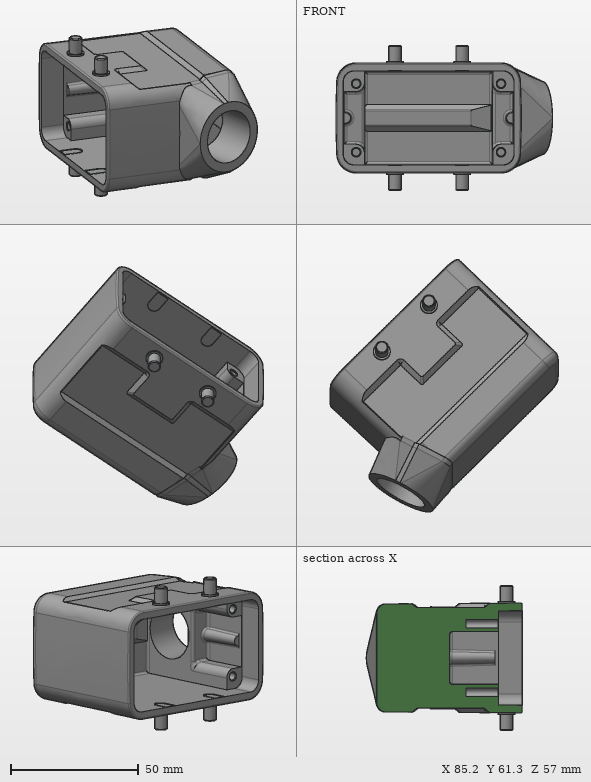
import cadquery as cq
import math


BODY_LENGTH = 72.9
BODY_WIDTH = 43.3
BODY_DEPTH = 57.2
BODY_CORNER = 7.7
SHORT_WALL_CREST = 0.8
BODY_DRAFT = 0.4
END_FILLET = 3.5
LIP_FILLET = 0.6

MOUTH_LENGTH = 67.1
MOUTH_WIDTH = 37.0
MOUTH_CORNER = 4.3
COLUMN_TOP = 9.3
CAVITY_LENGTH = 50.6
CAVITY_DRAFT = 0.4
END_WALL = 3.0
CAVITY_FLOOR = BODY_DEPTH - END_WALL
FLOOR_FILLET = 1.0
POCKET_LENGTH = 66.3
POCKET_WIDTH = 20.6
POCKET_FLOOR = 28.5
POCKET_FILLET = 1.1
COLUMN_CORNER = 3.4

SCREW_X = 28.45
SCREW_Z = 13.45
SCREW_DIA = 3.1
SCREW_DEPTH = 12.8
SCREW_CHAMFER = 0.3

KEY_X = 32.6
KEY_RADIUS = 2.5
KEY_TOP = 10.65
KEY_FILLET = 0.85
KEY_DRAFT = 1.5

RIDGE_HEIGHT = 2.55
RIDGE_BASE_HALF = 5.3
RIDGE_TOP_HALF = 3.1
RIDGE_FILLET = 0.8
RAMP_START_X = 16.6

PIN_X = 13.2
PIN_Y = 6.2
PIN_DIA = 5.0
PIN_SPAN = 57.0
PIN_CHAMFER = 0.4
COLLAR_DIA = 6.65
COLLAR_SPAN = 44.5
GROOVE_WIDTH = 5.1
GROOVE_LENGTH = 8.9
GROOVE_DEPTH = 0.25
LIP_DEPTH = 0.6

PANEL_LEVEL = 19.85
PANEL_LEFT = -32.2
PANEL_RIGHT = 32.45
PANEL_SHOULDER_X = 31.4
PANEL_SHOULDER_Y = 34.5
PANEL_BOTTOM = 14.9
PANEL_TOP = 41.5
TAB_HALF = 11.6
TAB_TOP = 26.7
PANEL_WALL_ANGLE = 50.0
PANEL_CUT = 2.55
TAB_CORNER = 1.3

ENTRY_TILT = 16.0
ENTRY_RADIUS = 14.3
TOTAL_LENGTH = 85.2
TOTAL_DEPTH = 61.3
ENTRY_X = TOTAL_LENGTH - BODY_LENGTH / 2 - ENTRY_RADIUS * math.sin(math.radians(ENTRY_TILT))
ENTRY_Y = TOTAL_DEPTH - ENTRY_RADIUS * math.cos(math.radians(ENTRY_TILT))
ENTRY_LENGTH = 14.0
ENTRY_ROOT_HALF = 21.2
ENTRY_SHOULDER = 0.5
ENTRY_ROOT_LENGTH = 1.9
ENTRY_SEAT_BOTTOM = -7.7
ENTRY_UPPER_CORNER = 3.4
ENTRY_LOWER_CORNER = 6.4
BAND_TOP = -0.3
BAND_BOTTOM = -2.3
BORE_RADIUS = 10.65
BORE_LENGTH = 23.4


def facing_y(y):
    """Workplane at depth y that extrudes towards +Y."""
    return cq.Workplane(cq.Plane(origin=(0, y, 0), xDir=(1, 0, 0), normal=(0, 1, 0)))


def block(length, width, depth, draft):
    """Box from the mouth plane to a depth, centred in X and Z and narrowing with depth."""
    return facing_y(0).rect(length, width).extrude(depth, taper=draft)


def body():
    half_length = BODY_LENGTH / 2
    side = half_length - SHORT_WALL_CREST
    half_width = BODY_WIDTH / 2
    section = (
        cq.Sketch()
        .segment((-side, half_width), (side, half_width))
        .arc((side, half_width), (half_length, 0), (side, -half_width))
        .segment((side, -half_width), (-side, -half_width))
        .arc((-side, -half_width), (-half_length, 0), (-side, half_width))
        .assemble()
        .vertices()
        .fillet(BODY_CORNER)
    )
    shell = facing_y(0).placeSketch(section).extrude(BODY_DEPTH, taper=BODY_DRAFT)
    shell = shell.faces(">Y").edges().fillet(END_FILLET)
    return shell.faces("<Y").edges().fillet(LIP_FILLET)


def panel_recess():
    """Cutter for the recessed panel on the +Z wall, open upwards with sloped walls."""
    outline = [
        (PANEL_LEFT, PANEL_BOTTOM),
        (-TAB_HALF, PANEL_BOTTOM),
        (-TAB_HALF, TAB_TOP),
        (TAB_HALF, TAB_TOP),
        (TAB_HALF, PANEL_BOTTOM),
        (PANEL_RIGHT, PANEL_BOTTOM),
        (PANEL_RIGHT, PANEL_SHOULDER_Y),
        (PANEL_SHOULDER_X, PANEL_TOP),
        (PANEL_LEFT, PANEL_TOP),
    ]
    recess = (
        cq.Workplane("XY", origin=(0, 0, PANEL_LEVEL))
        .polyline(outline)
        .close()
        .extrude(PANEL_CUT, taper=-PANEL_WALL_ANGLE)
    )
    around_tab = cq.selectors.BoxSelector(
        (-TAB_HALF - 0.85, 0, PANEL_LEVEL + 0.1),
        (TAB_HALF + 0.85, PANEL_TOP - 0.85, PANEL_LEVEL + PANEL_CUT - 0.1),
    )
    return recess.edges(around_tab).fillet(TAB_CORNER)


def entry_plane(distance):
    """Plane across the entry axis: local x is Z of the part, local y is the tilted height."""
    tilt = math.radians(ENTRY_TILT)
    axis = (math.cos(tilt), math.sin(tilt), 0)
    origin = (ENTRY_X - distance * axis[0], ENTRY_Y - distance * axis[1], 0)
    return cq.Plane(origin=origin, xDir=(0, 0, -1), normal=axis)


def entry_section(work, upper_arc, band, lower_arc):
    """Symmetric closed section from the arcs and band of its +x half, listed from top to bottom."""
    def mirrored(point):
        return (-point[0], point[1])

    top, upper_mid, upper_side = upper_arc
    lower_side, lower_mid, bottom = lower_arc
    return (
        work.moveTo(*mirrored(top))
        .lineTo(*top)
        .threePointArc(upper_mid, upper_side)
        .lineTo(*band[0])
        .lineTo(*band[1])
        .lineTo(*lower_side)
        .threePointArc(lower_mid, bottom)
        .lineTo(*mirrored(bottom))
        .threePointArc(mirrored(lower_mid), mirrored(lower_side))
        .lineTo(*mirrored(band[1]))
        .lineTo(*mirrored(band[0]))
        .lineTo(*mirrored(upper_side))
        .threePointArc(mirrored(upper_mid), mirrored(top))
        .close()
    )


def corner_arc(x, y, radius):
    """Side, middle and end points of a rounded corner at (x, y), y positive or negative."""
    up = math.copysign(1, y)
    inset = radius * (1 - math.sqrt(0.5))
    return (x, y - up * radius), (x - inset, y - up * inset), (x - radius, y)


def round_point(degrees):
    angle = math.radians(degrees)
    return (ENTRY_RADIUS * math.cos(angle), ENTRY_RADIUS * math.sin(angle))


def base_section(distance, inset):
    """Rounded section like the body's, with both widths reduced by the inset."""
    upper_half = ENTRY_ROOT_HALF - inset
    lower_half = PANEL_LEVEL - inset
    upper = corner_arc(upper_half, ENTRY_RADIUS, ENTRY_UPPER_CORNER)[::-1]
    lower = corner_arc(lower_half, -ENTRY_RADIUS, ENTRY_LOWER_CORNER)
    band = [(upper_half, BAND_TOP), (lower_half, BAND_BOTTOM)]
    return entry_section(cq.Workplane(entry_plane(distance)), upper, band, lower)


def entry_seat():
    """Cutter that removes the body's corner in front of the entry root."""
    return (
        cq.Workplane(entry_plane(ENTRY_LENGTH + ENTRY_ROOT_LENGTH))
        .center(0, (ENTRY_RADIUS * 2 + ENTRY_SEAT_BOTTOM) / 2)
        .rect(BODY_WIDTH * 2, ENTRY_RADIUS * 2 - ENTRY_SEAT_BOTTOM)
        .extrude(ENTRY_LENGTH * 2)
    )


def cable_entry():
    """Solid that blends from the body's cross-section to a round end."""
    root = base_section(ENTRY_LENGTH + ENTRY_ROOT_LENGTH, 0)
    base = base_section(ENTRY_LENGTH, ENTRY_SHOULDER)

    flat = 0.5
    band_angles = [math.degrees(math.asin(v / ENTRY_RADIUS)) for v in (BAND_TOP, BAND_BOTTOM)]
    end_upper = [round_point(a) for a in (90 - flat, 45, flat)]
    end_band = [round_point(a) for a in band_angles]
    end_lower = [round_point(a) for a in (band_angles[1] - flat, -50, flat - 90)]
    end = entry_section(cq.Workplane(entry_plane(0)), end_upper, end_band, end_lower)

    wires = [section.wires().val() for section in (root, base, end)]
    return cq.Workplane(cq.Solid.makeLoft(wires, True))


def entry_bore():
    return cq.Workplane(entry_plane(0)).circle(BORE_RADIUS).extrude(-BORE_LENGTH)


def pins():
    pair = cq.Workplane()
    for x in (-PIN_X, PIN_X):
        axis = cq.Workplane("XY", origin=(x, PIN_Y, 0))
        pin = axis.circle(PIN_DIA / 2).extrude(PIN_SPAN / 2, both=True)
        collar = axis.circle(COLLAR_DIA / 2).extrude(COLLAR_SPAN / 2, both=True)
        pair = pair.add(pin.faces("<Z or >Z").chamfer(PIN_CHAMFER).union(collar))
    return pair.combine()


def ridge():
    """Trapezoid rib on the cavity floor with a ramp at its +X end."""
    top = CAVITY_FLOOR - RIDGE_HEIGHT
    half = CAVITY_LENGTH / 2
    rib = (
        cq.Workplane("YZ", origin=(-half, 0, 0))
        .polyline(
            [
                (CAVITY_FLOOR, -RIDGE_BASE_HALF),
                (top, -RIDGE_TOP_HALF),
                (top, RIDGE_TOP_HALF),
                (CAVITY_FLOOR, RIDGE_BASE_HALF),
            ]
        )
        .close()
        .extrude(CAVITY_LENGTH)
    )
    rib = rib.faces("<Y").edges("|X").fillet(RIDGE_FILLET)
    ramp_rise = (half - RAMP_START_X) * math.tan(math.radians(ENTRY_TILT))
    ramp = (
        cq.Workplane("XY")
        .polyline([(RAMP_START_X, top), (half, top), (half, top + ramp_rise)])
        .close()
        .extrude(RIDGE_BASE_HALF, both=True)
    )
    return rib.cut(ramp)


def cavity():
    """Everything removed from inside the hood, with the ridge and keys left standing."""
    mouth = block(MOUTH_LENGTH, MOUTH_WIDTH, COLUMN_TOP, CAVITY_DRAFT)
    mouth = mouth.edges("not #Y").fillet(MOUTH_CORNER)
    main = block(CAVITY_LENGTH, MOUTH_WIDTH, CAVITY_FLOOR, CAVITY_DRAFT)
    main = main.faces(">Y").edges().fillet(FLOOR_FILLET)
    space = main.union(block(POCKET_LENGTH, POCKET_WIDTH, POCKET_FLOOR, 0))

    reach = (CAVITY_LENGTH + 0.85) / 2
    column_edges = cq.selectors.BoxSelector(
        (-reach, 0.85, -POCKET_WIDTH / 2 - 0.85), (reach, POCKET_FLOOR - 0.85, POCKET_WIDTH / 2 + 0.85)
    )
    space = space.edges(column_edges).fillet(COLUMN_CORNER)
    floor_edges = cq.selectors.BoxSelector(
        (-POCKET_LENGTH, POCKET_FLOOR - 0.1, -POCKET_WIDTH),
        (POCKET_LENGTH, POCKET_FLOOR + 0.1, POCKET_WIDTH),
    )
    space = space.edges(floor_edges).fillet(POCKET_FILLET)

    keys = (
        facing_y(POCKET_FLOOR)
        .pushPoints([(-KEY_X, 0), (KEY_X, 0)])
        .circle(KEY_RADIUS)
        .extrude(KEY_TOP - POCKET_FLOOR, taper=KEY_DRAFT)
    )
    space = space.union(mouth).cut(keys)
    key_feet = cq.selectors.BoxSelector(
        (-KEY_X - 0.1, POCKET_FLOOR - 0.1, -0.85), (KEY_X + 0.1, POCKET_FLOOR + 0.1, 0.85)
    )
    key_rounds = space.edges(key_feet).edges("%CIRCLE")
    space = key_rounds.fillet(KEY_FILLET)
    return space.cut(ridge())


def screw_holes():
    spots = [(x, z) for x in (-SCREW_X, SCREW_X) for z in (-SCREW_Z, SCREW_Z)]
    holes = facing_y(COLUMN_TOP).pushPoints(spots).circle(SCREW_DIA / 2).extrude(SCREW_DEPTH)
    mouths = (
        facing_y(COLUMN_TOP)
        .pushPoints(spots)
        .circle(SCREW_DIA / 2 + SCREW_CHAMFER)
        .extrude(SCREW_CHAMFER, taper=45)
    )
    return holes.union(mouths)


def pin_grooves():
    """Round-ended grooves in both long inner walls, running from the lip past each pin."""
    straight = GROOVE_LENGTH - GROOVE_WIDTH / 2
    grooves = cq.Workplane()
    for x in (-PIN_X, PIN_X):
        groove = (
            cq.Workplane("XY")
            .moveTo(x - GROOVE_WIDTH / 2, LIP_DEPTH)
            .lineTo(x + GROOVE_WIDTH / 2, LIP_DEPTH)
            .lineTo(x + GROOVE_WIDTH / 2, straight)
            .threePointArc((x, GROOVE_LENGTH), (x - GROOVE_WIDTH / 2, straight))
            .close()
            .extrude(MOUTH_WIDTH / 2 + GROOVE_DEPTH, both=True)
        )
        grooves = grooves.add(groove)
    return grooves.combine()


panel = panel_recess()
hood = body().cut(panel).cut(panel.mirror("XY"))
hood = hood.cut(entry_seat()).union(cable_entry()).union(pins())
hood = hood.cut(cavity()).cut(pin_grooves())
result = hood.cut(screw_holes()).cut(entry_bore())